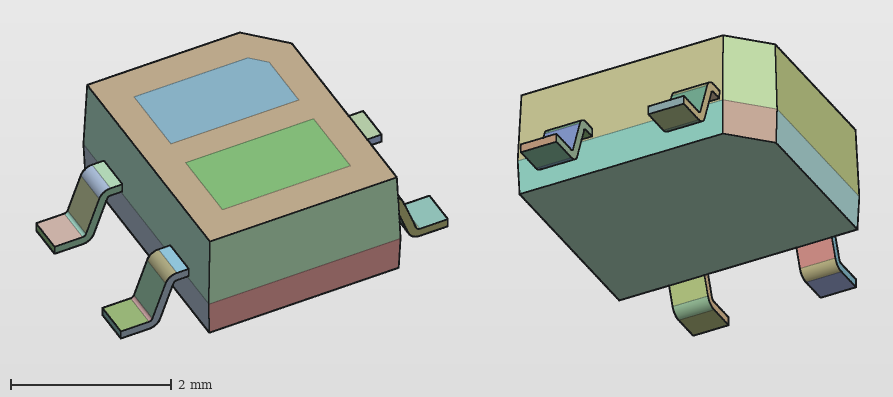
import cadquery as cq
import math

span_y = 4.6

body_length = 3.4
body_width = 2.7
body_bottom = 0.12
lower_height = 0.5
upper_height = 1.0
corner_cut = 0.5
draft_angle = 2.0
parting_z = body_bottom + lower_height
body_top = parting_z + upper_height

window_length = 1.0
window_width = 1.8
window_gap = 0.4
window_corner_cut = 0.2
window_depth = 0.09

lead_width = 0.5
lead_pitch = 1.8
lead_thickness = 0.12
lead_top = 0.775
foot_flat = 0.395
inner_radius = 0.05
slope_angle = 70.0
outer_radius = inner_radius + lead_thickness


def bevelled_rectangle(length, width, cut):
    """Outline centred on the origin with its -X, +Y corner cut off."""
    x = length / 2
    y = width / 2
    return (
        cq.Workplane("XY")
        .polyline([(-x, -y), (x, -y), (x, y), (-x + cut, y), (-x, y - cut)])
        .close()
    )


def make_housing():
    """Two drafted halves, with the window outlines kept as flush faces on top."""
    body_outline = (body_length, body_width, corner_cut)
    upper = bevelled_rectangle(*body_outline).extrude(upper_height, taper=draft_angle)
    lower = bevelled_rectangle(*body_outline).extrude(-lower_height, taper=draft_angle)
    housing = upper.union(lower).translate((0, 0, parting_z))

    window_x = (window_length + window_gap) / 2
    window_z = body_top - window_depth
    bevelled_window = bevelled_rectangle(window_length, window_width, window_corner_cut)
    plain_window = cq.Workplane("XY").rect(window_length, window_width)
    for x, window_outline in ((-window_x, bevelled_window), (window_x, plain_window)):
        window = window_outline.extrude(window_depth).translate((x, 0, window_z))
        housing = housing.cut(window, clean=False).union(window, clean=False)
    return housing


def polar(center, radius, degrees):
    angle = math.radians(degrees)
    return (center[0] + radius * math.cos(angle), center[1] + radius * math.sin(angle))


def make_lead(housing):
    """Gull-wing lead on the +Y side, centred on X = 0, ending at the housing wall."""
    angle = math.radians(slope_angle)
    mean_radius = (inner_radius + outer_radius) / 2
    bend_drop = mean_radius * (1 - math.cos(angle))
    slope_drop = lead_top - lead_thickness - 2 * bend_drop
    bend_run = 2 * mean_radius * math.sin(angle) + slope_drop / math.tan(angle)

    tip_y = span_y / 2
    root_y = body_width / 2 - lead_thickness
    foot_center = (tip_y - foot_flat, outer_radius)
    shoulder_center = (foot_center[0] - bend_run, lead_top - outer_radius)
    foot_start = -90
    foot_middle = foot_start - slope_angle / 2
    foot_end = foot_start - slope_angle
    shoulder_start = 90
    shoulder_middle = shoulder_start - slope_angle / 2
    shoulder_end = shoulder_start - slope_angle

    lead = (
        cq.Workplane("YZ")
        .moveTo(tip_y, 0)
        .lineTo(*polar(foot_center, outer_radius, foot_start))
        .threePointArc(
            polar(foot_center, outer_radius, foot_middle),
            polar(foot_center, outer_radius, foot_end),
        )
        .lineTo(*polar(shoulder_center, inner_radius, shoulder_end))
        .threePointArc(
            polar(shoulder_center, inner_radius, shoulder_middle),
            polar(shoulder_center, inner_radius, shoulder_start),
        )
        .lineTo(root_y, lead_top - lead_thickness)
        .lineTo(root_y, lead_top)
        .lineTo(*polar(shoulder_center, outer_radius, shoulder_start))
        .threePointArc(
            polar(shoulder_center, outer_radius, shoulder_middle),
            polar(shoulder_center, outer_radius, shoulder_end),
        )
        .lineTo(*polar(foot_center, inner_radius, foot_end))
        .threePointArc(
            polar(foot_center, inner_radius, foot_middle),
            polar(foot_center, inner_radius, foot_start),
        )
        .lineTo(tip_y, lead_thickness)
        .close()
        .extrude(lead_width / 2, both=True)
    )
    return lead.cut(housing)


housing = make_housing()

lead = make_lead(housing)
leads = []
for x in (-lead_pitch / 2, lead_pitch / 2):
    leads.append(lead.translate((x, 0, 0)).val())
    leads.append(lead.mirror("XZ").translate((x, 0, 0)).val())

result = cq.Compound.makeCompound([housing.val(), *leads])